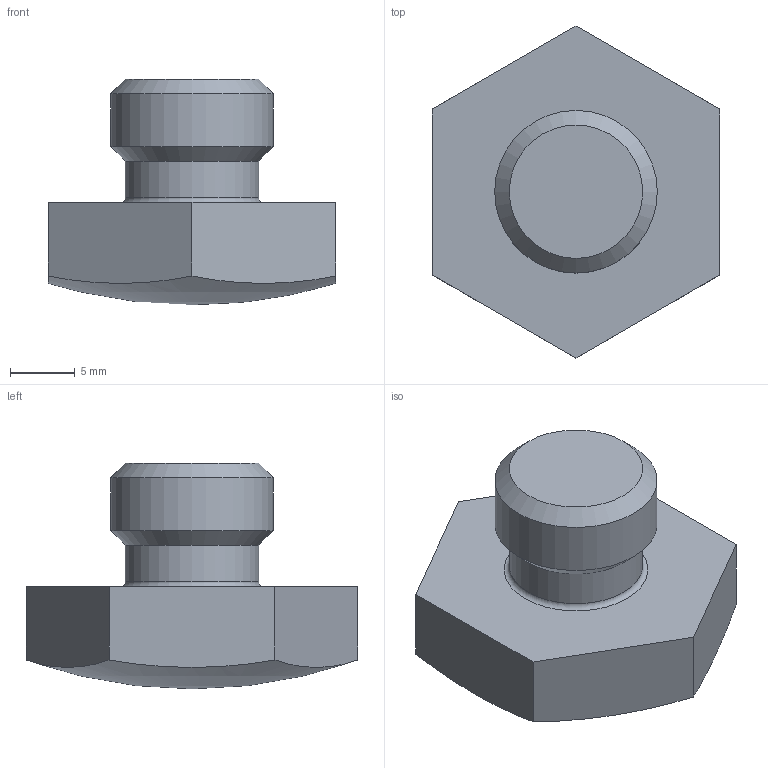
import cadquery as cq
import math

head_sides = 6
half_side_angle = 180 / head_sides
across_flats = 22.225
across_corners = across_flats / math.cos(math.radians(half_side_angle))
head_height = 7.89
dome_radius = 38.1

total_height = 17.45
stud_height = total_height - head_height
stud_diameter = 12.57
neck_diameter = 10.31
neck_length = 3.22
neck_fillet = 0.4
stud_chamfer = (stud_diameter - neck_diameter) / 2


def make_head():
    """Hexagonal prism, corners on the Y axis, rounded below by a sphere; top face at Z = 0."""
    prism = (
        cq.Workplane("XY")
        .polygon(head_sides, across_corners)
        .extrude(-head_height)
        .rotate((0, 0, 0), (0, 0, 1), half_side_angle)
    )
    dome = cq.Workplane("XY").sphere(dome_radius).translate((0, 0, dome_radius - head_height))
    return prism.intersect(dome)


def make_stud():
    """Turned stud with a collar chamfered at both ends and a narrower neck filleted into the head."""
    stud_radius = stud_diameter / 2
    neck_radius = neck_diameter / 2
    fillet_middle = neck_fillet * (1 - math.sqrt(0.5))
    profile = (
        cq.Workplane("YZ")
        .lineTo(neck_radius + neck_fillet, 0)
        .threePointArc(
            (neck_radius + fillet_middle, fillet_middle),
            (neck_radius, neck_fillet),
        )
        .lineTo(neck_radius, neck_length)
        .lineTo(stud_radius, neck_length + stud_chamfer)
        .lineTo(stud_radius, stud_height - stud_chamfer)
        .lineTo(neck_radius, stud_height)
        .lineTo(0, stud_height)
        .close()
    )
    return profile.revolve(360, (0, 0, 0), (0, 1, 0))


result = make_head().union(make_stud())